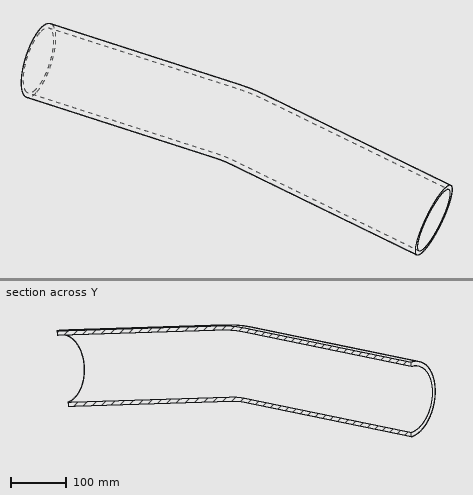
import cadquery as cq
import math

overall_length = 810.5
outer_diameter = 140.0
bore_diameter = 123.0
bend_angle = 11.0
bend_radius = 210.0

outer_radius = outer_diameter / 2
angle = math.radians(bend_angle)

bend_reach = (bend_radius + outer_radius) * math.sin(angle)
leg_length = (overall_length - bend_reach) / (1 + math.cos(angle))


def bend_point(turn):
    """Point on the centreline arc after turning through the given angle."""
    x = leg_length + bend_radius * math.sin(turn)
    z = -bend_radius * (1 - math.cos(turn))
    return x, z


bend_end = bend_point(angle)
outlet = (
    bend_end[0] + leg_length * math.cos(angle),
    bend_end[1] - leg_length * math.sin(angle),
)
centreline = (
    cq.Workplane("XZ")
    .lineTo(leg_length, 0)
    .threePointArc(bend_point(angle / 2), bend_end)
    .lineTo(*outlet)
)

result = (
    cq.Workplane("YZ")
    .circle(outer_radius)
    .circle(bore_diameter / 2)
    .sweep(centreline)
)